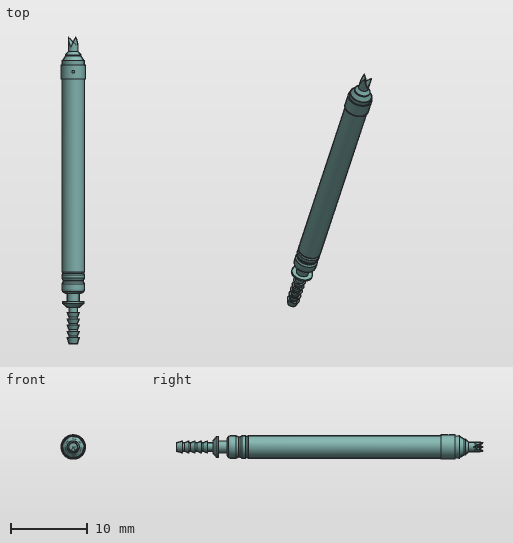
import cadquery as cq
import math

LENGTH = 40.0
FRONT = LENGTH / 2
REAR = -LENGTH / 2

TIP_RADIUS = 0.65
NOSE_STEP_RADIUS = 1.05
NOSE_BASE_RADIUS = 1.4
RING_END_RADIUS = 1.45
BODY_RADIUS = 1.5
COLLAR_RADIUS = 1.6
BEVEL_MIDDLE_RADIUS = 1.4
BEVEL_END_RADIUS = 1.05
NECK_RADIUS = 0.8
FLANGE_RADIUS = 1.4
FLANGE_CONE_RADIUS = 0.8
STEM_RADIUS = 0.55
BARB_RADIUS = 0.8

TIP_LENGTH = 1.9
NOSE_STEP_START = 2.3
NOSE_STEP_END = 2.5
RING_START = 3.1
COLLAR_START = 3.65
COLLAR_END = 5.5

BODY_END = 9.4
MIDDLE_RING_START = 9.0
MIDDLE_RING_END = 8.55
REAR_RING_START = 7.8
BEVEL_START = 7.1
BEVEL_MIDDLE = 6.8
NECK_START = 6.6
FLANGE_START = 5.5
FLANGE_EDGE_END = 5.3
FLANGE_END = 4.75
FIRST_BARB = 4.1

NARROW_GROOVE_DEPTH = 0.1
WIDE_GROOVE_DEPTH = 0.15
WIDE_GROOVE_SLOPE = 0.3

BARB_COUNT = 5
BARB_PITCH = FIRST_BARB / BARB_COUNT
BARB_LENGTH = 0.6

TOOTH_COUNT = 3
NOTCH_DEPTH = 1.3
NOTCH_REACH = 3 * TIP_RADIUS

MARK_DIAMETER = 0.35
MARK_DEPTH = 0.15
MARK_SETBACK = 4.5


def from_front(radius, distance):
    return (radius, FRONT - distance)


def from_rear(radius, distance):
    return (radius, REAR + distance)


def turned_body():
    """Revolve the half profile about Y, drawn from the tip to the tail."""
    narrow_groove = (BODY_END + MIDDLE_RING_START) / 2
    wide_groove_radius = BODY_RADIUS - WIDE_GROOVE_DEPTH
    profile = (
        cq.Workplane("XY")
        .moveTo(0, FRONT)
        .lineTo(*from_front(TIP_RADIUS, 0))
        .lineTo(*from_front(TIP_RADIUS, TIP_LENGTH))
        .lineTo(*from_front(NOSE_STEP_RADIUS, NOSE_STEP_START))
        .lineTo(*from_front(NOSE_STEP_RADIUS, NOSE_STEP_END))
        .lineTo(*from_front(NOSE_BASE_RADIUS, RING_START))
        .lineTo(*from_front(BODY_RADIUS, RING_START))
        .lineTo(*from_front(RING_END_RADIUS, COLLAR_START))
        .lineTo(*from_front(COLLAR_RADIUS, COLLAR_START))
        .lineTo(*from_front(COLLAR_RADIUS, COLLAR_END))
        .lineTo(*from_front(BODY_RADIUS, COLLAR_END))
        .lineTo(*from_rear(BODY_RADIUS, BODY_END))
        .lineTo(*from_rear(BODY_RADIUS - NARROW_GROOVE_DEPTH, narrow_groove))
        .lineTo(*from_rear(BODY_RADIUS, MIDDLE_RING_START))
        .lineTo(*from_rear(BODY_RADIUS, MIDDLE_RING_END))
        .lineTo(*from_rear(wide_groove_radius, MIDDLE_RING_END - WIDE_GROOVE_SLOPE))
        .lineTo(*from_rear(wide_groove_radius, REAR_RING_START + WIDE_GROOVE_SLOPE))
        .lineTo(*from_rear(BODY_RADIUS, REAR_RING_START))
        .lineTo(*from_rear(BODY_RADIUS, BEVEL_START))
        .lineTo(*from_rear(BEVEL_MIDDLE_RADIUS, BEVEL_MIDDLE))
        .lineTo(*from_rear(BEVEL_END_RADIUS, NECK_START))
        .lineTo(*from_rear(NECK_RADIUS, NECK_START))
        .lineTo(*from_rear(NECK_RADIUS, FLANGE_START))
        .lineTo(*from_rear(FLANGE_RADIUS, FLANGE_START))
        .lineTo(*from_rear(FLANGE_RADIUS, FLANGE_EDGE_END))
        .lineTo(*from_rear(FLANGE_CONE_RADIUS, FLANGE_END))
        .lineTo(*from_rear(STEM_RADIUS, FLANGE_END))
        .lineTo(*from_rear(STEM_RADIUS, 0))
        .lineTo(0, REAR)
        .close()
    )
    return profile.revolve(360, (0, 0, 0), (0, 1, 0))


def barb(start, length):
    """A cone that narrows rearward from the barb radius to the stem radius."""
    return (
        cq.Workplane("XY")
        .moveTo(*from_rear(0, start))
        .lineTo(*from_rear(BARB_RADIUS, start))
        .lineTo(*from_rear(STEM_RADIUS, start - length))
        .lineTo(*from_rear(0, start - length))
        .close()
        .revolve(360, (0, 0, 0), (0, 1, 0))
    )


def tooth_notch(angle):
    """A V cutter whose valley crosses the axis and deepens outward, toward +X before turning."""
    rise = NOTCH_DEPTH / 2
    tilt = math.atan2(rise, TIP_RADIUS)
    wall_slope = math.sin(tilt) / math.tan(math.pi / TOOTH_COUNT / 2)
    half_width = NOTCH_REACH / wall_slope
    cutter = (
        cq.Workplane("YZ")
        .polyline([(0, 0), (NOTCH_REACH, half_width), (NOTCH_REACH, -half_width)])
        .close()
        .extrude(NOTCH_REACH, both=True)
    )
    return (
        cutter.rotate((0, 0, 0), (0, 0, 1), -math.degrees(tilt))
        .translate((0, FRONT - rise, 0))
        .rotate((0, 0, 0), (0, 1, 0), angle)
    )


def collar_mark():
    return (
        cq.Workplane("XY", origin=(0, FRONT - MARK_SETBACK, COLLAR_RADIUS - MARK_DEPTH))
        .circle(MARK_DIAMETER / 2)
        .extrude(2 * MARK_DEPTH)
    )


result = turned_body()

for index in range(BARB_COUNT):
    is_last = index == BARB_COUNT - 1
    barb_length = BARB_PITCH if is_last else BARB_LENGTH
    result = result.union(barb(FIRST_BARB - index * BARB_PITCH, barb_length))

for index in range(TOOTH_COUNT):
    result = result.cut(tooth_notch(index * 360 / TOOTH_COUNT))

result = result.cut(collar_mark())